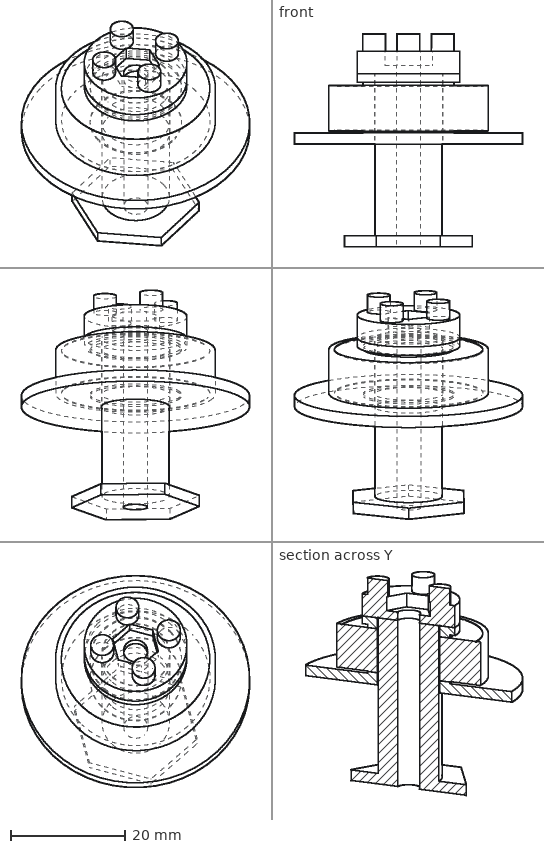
import cadquery as cq
import math

screw_hole_d = 4.2
shaft_d = 11.8
bore_d = 12.0
shoulder_d = 16.0

head_corner_d = 22.4
head_height = 2.0

flange_d = 40.0
flange_bottom = 18.0
flange_thickness = 2.0
flange_shoulder = 0.3

bearing_d = 28.0
bearing_width = 8.0
bearing_edge_radius = 0.2
groove_root_r = 13.0

cap_d = 18.0
collar_shoulder = 0.5
collar_thickness = 1.5
cap_thickness = 4.0
nut_pocket_flats = 7.2
nut_pocket_depth = 2.5

pin_d = 4.0
pin_circle_r = 6.0
pin_count = 4
pin_height = 3.0

flange_top = flange_bottom + flange_thickness
bearing_bottom = flange_top + flange_shoulder
bearing_top = bearing_bottom + bearing_width
collar_bottom = bearing_top + collar_shoulder
cap_bottom = collar_bottom + collar_thickness
cap_top = cap_bottom + cap_thickness


def cylinder(diameter, bottom, height):
    return cq.Workplane("XY").workplane(offset=bottom).circle(diameter / 2).extrude(height)


def hexagon(corner_diameter, bottom, height):
    return cq.Workplane("XY").workplane(offset=bottom).polygon(6, corner_diameter).extrude(height)


def make_hex_shaft():
    """Hex head with a hollow shaft that reaches up to the underside of the cap."""
    head = hexagon(head_corner_d, 0, head_height)
    shaft = cylinder(shaft_d, head_height, cap_bottom - head_height)
    return head.union(shaft).cut(cylinder(screw_hole_d, 0, cap_bottom))


def make_flange():
    """Large disc with a low shoulder under the inner race of the bearing."""
    disc = cylinder(flange_d, flange_bottom, flange_thickness)
    shoulder = cylinder(shoulder_d, flange_top, flange_shoulder)
    bore = cylinder(bore_d, flange_bottom, bearing_bottom - flange_bottom)
    return disc.union(shoulder).cut(bore)


def make_face_groove():
    """Ring cutter for the upper face, with two convex flanks that meet at a sharp root."""
    outer_edge_r = groove_root_r + bearing_edge_radius
    inner_edge_r = groove_root_r - bearing_edge_radius
    root_z = bearing_top - bearing_edge_radius
    root = (groove_root_r, root_z)
    diagonal = bearing_edge_radius * math.sqrt(0.5)
    return (
        cq.Workplane("XZ")
        .moveTo(inner_edge_r, bearing_top)
        .threePointArc((inner_edge_r + diagonal, root_z + diagonal), root)
        .threePointArc((outer_edge_r - diagonal, root_z + diagonal), (outer_edge_r, bearing_top))
        .close()
        .revolve(360, (0, 0, 0), (0, 1, 0))
    )


def make_bearing():
    """Bearing ring with rounded rims and the same groove in both faces."""
    ring = cylinder(bearing_d, bearing_bottom, bearing_width)
    ring = ring.faces("<Z or >Z").edges().fillet(bearing_edge_radius)
    upper_groove = make_face_groove()
    mid_height = (bearing_bottom + bearing_top) / 2
    lower_groove = upper_groove.mirror("XY", (0, 0, mid_height))
    bore = cylinder(bore_d, bearing_bottom, bearing_width)
    return ring.cut(bore).cut(upper_groove).cut(lower_groove)


def make_collar():
    """Spacer between the bearing and the cap, with a shoulder on the inner race."""
    shoulder = cylinder(shoulder_d, bearing_top, collar_shoulder)
    disc = cylinder(cap_d, collar_bottom, collar_thickness)
    bore = cylinder(bore_d, bearing_top, cap_bottom - bearing_top)
    return shoulder.union(disc).cut(bore)


def make_cap():
    """Cap with a hexagonal nut pocket, a screw hole and a ring of drive pins."""
    pocket_corner_d = nut_pocket_flats / math.cos(math.pi / 6)
    cap = cylinder(cap_d, cap_bottom, cap_thickness)
    cap = cap.cut(cylinder(screw_hole_d, cap_bottom, cap_thickness))
    cap = cap.cut(hexagon(pocket_corner_d, cap_top - nut_pocket_depth, nut_pocket_depth))
    for index in range(pin_count):
        angle = 2 * math.pi * index / pin_count
        pin_x = pin_circle_r * math.cos(angle)
        pin_y = pin_circle_r * math.sin(angle)
        pin = cylinder(pin_d, cap_top, pin_height).translate((pin_x, pin_y, 0))
        cap = cap.union(pin)
    return cap


hex_shaft = make_hex_shaft()
flange = make_flange()
bearing = make_bearing()
collar = make_collar()
cap = make_cap()

result = cq.Compound.makeCompound([
    hex_shaft.val(),
    flange.val(),
    bearing.val(),
    collar.val(),
    cap.val(),
])